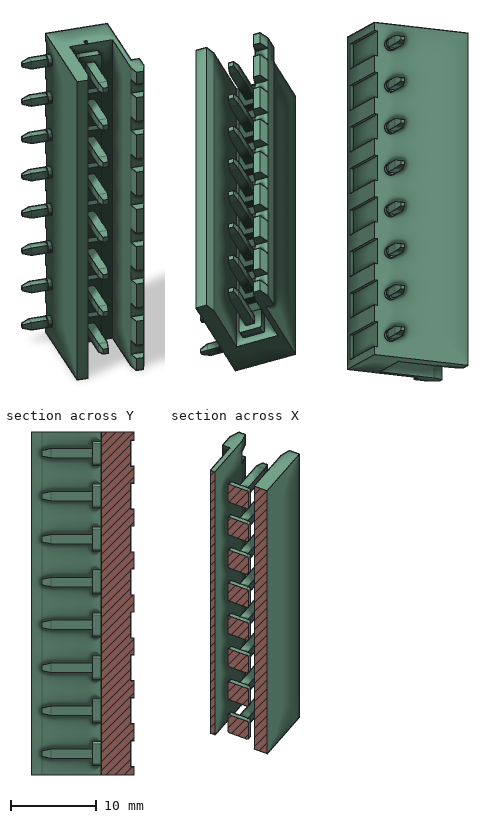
import cadquery as cq

contact_count = 8
pitch = 5.0
contact_heights = [(i - (contact_count - 1) / 2) * pitch for i in range(contact_count)]

housing_length = contact_count * pitch
housing_depth = 12.0
base_thickness = 3.86
lower_wall_top = 1.75
latch_wall_inside = 6.98
latch_wall_outside = 7.6
latch_hook_top = 8.6
latch_hook_start = 9.0
outer_bevel_start = 10.75
inner_bevel_start = 10.8
lower_wall_tip = 1.35
latch_tip_inside = 7.25
latch_tip_outside = 8.1

recess_depth = 0.4
recess_width = 6.8
recess_height = 3.0
notch_height = 1.8

mark_start = 3.1
mark_wide = 0.4
mark_narrow = 0.05
mark_depth = 0.1

pin_y = 3.9
pin_width = 1.1
pin_tip_width = 0.65
pin_taper_start = 9.7
pin_end = 10.75
pin_collar_width = 2.8
pin_collar_length = 1.0
pin_collar_fillet = 0.25

tail_x = 2.0
tail_width = 1.0
tail_tip_width = 0.45
tail_taper_start = 2.5
tail_length = 3.5
tail_collar_diameter = 1.42
tail_collar_length = 0.5


def make_housing():
    """U-shaped profile extruded over the full row of contacts."""
    return (
        cq.Workplane("XY", origin=(0, 0, -housing_length / 2))
        .moveTo(0, 0)
        .lineTo(housing_depth, 0)
        .lineTo(housing_depth, lower_wall_tip)
        .lineTo(outer_bevel_start, lower_wall_top)
        .lineTo(base_thickness, lower_wall_top)
        .lineTo(base_thickness, latch_wall_inside)
        .lineTo(inner_bevel_start, latch_wall_inside)
        .lineTo(housing_depth, latch_tip_inside)
        .lineTo(housing_depth, latch_tip_outside)
        .lineTo(outer_bevel_start, latch_hook_top)
        .lineTo(latch_hook_start, latch_hook_top)
        .lineTo(latch_hook_start, latch_wall_outside)
        .lineTo(0, latch_wall_outside)
        .close()
        .extrude(housing_length)
    )


def make_back_recess(z):
    """Shallow pocket in the back face, open towards -Y."""
    return (
        cq.Workplane("XY")
        .box(recess_depth, recess_width, recess_height, centered=(False, False, True))
        .translate((0, 0, z))
    )


def make_latch_notch(z):
    """Gap in the edge of the latch wall, as deep as its inner bevel."""
    notch_depth = housing_depth - inner_bevel_start
    notch_width = latch_hook_top - latch_wall_inside
    return (
        cq.Workplane("XY")
        .box(notch_depth, notch_width, notch_height, centered=(False, False, True))
        .translate((inner_bevel_start, latch_wall_inside, z))
    )


def make_end_mark():
    """Tapered recess in the top end face."""
    return (
        cq.Workplane("XY", origin=(0, pin_y, housing_length / 2))
        .moveTo(mark_start, -mark_wide / 2)
        .lineTo(base_thickness, -mark_narrow / 2)
        .lineTo(base_thickness, mark_narrow / 2)
        .lineTo(mark_start, mark_wide / 2)
        .close()
        .extrude(-mark_depth)
    )


def make_square_pin(plane_name, origin, straight_length, total_length, width, tip_width):
    """Square pin with a tapered tip, along the normal of the named plane."""
    shank = cq.Workplane(plane_name, origin=origin).rect(width, width).extrude(straight_length)
    tip = (
        shank.faces(cq.selectors.DirectionMinMaxSelector(cq.Plane.named(plane_name).zDir))
        .workplane()
        .rect(width, width)
        .workplane(offset=total_length - straight_length)
        .rect(tip_width, tip_width)
        .loft(combine=False)
    )
    return shank.union(tip)


def make_mating_pin(z):
    """Pin pointing to the mouth, with a square collar on the cavity floor."""
    root = (base_thickness, pin_y, z)
    collar = (
        cq.Workplane("YZ", origin=root)
        .rect(pin_collar_width, pin_collar_width)
        .extrude(pin_collar_length)
        .edges("|X")
        .fillet(pin_collar_fillet)
    )
    pin = make_square_pin(
        "YZ", root, pin_taper_start - base_thickness, pin_end - base_thickness, pin_width, pin_tip_width
    )
    return collar.union(pin)


def make_solder_tail(z):
    """Pin pointing to -Y, with a round collar on the lower wall."""
    root = (tail_x, 0, z)
    collar = cq.Workplane("XZ", origin=root).circle(tail_collar_diameter / 2).extrude(tail_collar_length)
    tail = make_square_pin("XZ", root, tail_taper_start, tail_length, tail_width, tail_tip_width)
    return collar.union(tail)


result = make_housing().cut(make_end_mark())
for height in contact_heights:
    result = result.cut(make_back_recess(height)).cut(make_latch_notch(height))
    result = result.union(make_mating_pin(height)).union(make_solder_tail(height))